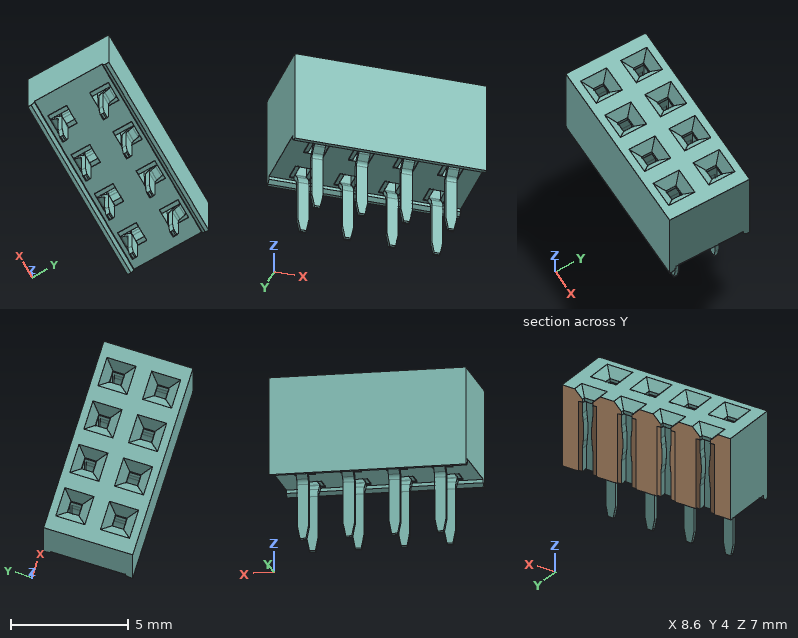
import cadquery as cq
import math


length = 8.6
width = 4.0
height = 4.3
lip_width = 0.33
lip_height = 0.3
lip_chamfer = 0.155

columns = 4
rows = 2
pitch = width / 2

leg_width = 0.5
stock = 0.2
bend_angle = math.radians(45)
lower_bend_radius = 0.3
upper_bend_radius = 0.04

tail_reach = 2.7
leg_bend_depth = 0.27
plate_offset = 0.39
taper_height = 0.6
tip_width = 0.26
tip_bevel = 0.05

lower_mid_radius = lower_bend_radius + stock / 2
upper_mid_radius = upper_bend_radius + stock / 2
radius_sum = lower_mid_radius + upper_mid_radius
slant_shift = plate_offset - radius_sum * (1 - math.cos(bend_angle))
slant_rise = slant_shift / math.tan(bend_angle)
plate_bottom = -leg_bend_depth + radius_sum * math.sin(bend_angle) + slant_rise

funnel_width = 1.3
throat_width = 0.51
funnel_depth = (funnel_width - throat_width) / 2
throat_depth = 0.17
ceiling = height - funnel_depth - throat_depth

cage_width = throat_width + 2 * stock
cage_inner_end = -0.43
cage_outer_end = plate_offset + stock / 2
pad_gap = 0.37
pad_lead_gap = 0.43
pad_outer_end = 0.2
pad_drop = 0.52
pad_lead_in = 0.34
pad_height = 1.72


def contact_places():
    """Centre of every contact, with the outward Y direction of its row."""
    for row in range(rows):
        y = (row - (rows - 1) / 2) * pitch
        for column in range(columns):
            x = (column - (columns - 1) / 2) * pitch
            yield x, y, math.copysign(1, y)


def block(x_range, y_range, z_range):
    """Rectangular block between the given limits."""
    size = [high - low for low, high in (x_range, y_range, z_range)]
    corner = (x_range[0], y_range[0], z_range[0])
    return cq.Workplane("XY").box(*size, centered=False).translate(corner)


def make_entry():
    """Funnel and throat opening, centred on the contact axis."""
    funnel = (
        cq.Workplane("XY", origin=(0, 0, height - funnel_depth))
        .rect(throat_width, throat_width)
        .workplane(offset=funnel_depth)
        .rect(funnel_width, funnel_width)
        .loft(ruled=True)
    )
    half = throat_width / 2
    throat = block((-half, half), (-half, half), (ceiling, height - funnel_depth))
    return funnel.union(throat)


def make_cavity():
    """Room for the contact cage, open at the underside, outward side at +Y."""
    half = cage_width / 2
    return block((-half, half), (cage_inner_end, cage_outer_end), (0, ceiling))


def make_housing():
    """Block on two long standoff lips, pierced by the contact openings."""
    outer = width / 2
    inner = outer - lip_width
    outline = [
        (-outer, 0),
        (-inner - lip_chamfer, 0),
        (-inner, lip_chamfer),
        (-inner, lip_height),
        (inner, lip_height),
        (inner, lip_chamfer),
        (inner + lip_chamfer, 0),
        (outer, 0),
        (outer, height),
        (-outer, height),
    ]
    housing = cq.Workplane("YZ").polyline(outline).close().extrude(length / 2, both=True)
    opening = make_entry().union(make_cavity())
    for x, y, outward in contact_places():
        housing = housing.cut(face_outward(opening, outward).translate((x, y, 0)))
    return housing


def face_outward(shape, outward):
    """Turn a shape made for the +Y row to suit the given row."""
    return shape if outward > 0 else shape.rotate((0, 0, 0), (0, 0, 1), 180)


def bend_point(centre, radius, angle):
    """Point on a bend, with the angle measured from +Y towards +Z."""
    return centre[0] + radius * math.cos(angle), centre[1] + radius * math.sin(angle)


def make_leg_profile():
    """Side outline of the bent strip, from the bevelled tip to the cage top."""
    half = stock / 2
    lower = (lower_mid_radius, -leg_bend_depth)
    upper = (plate_offset - upper_mid_radius, plate_bottom)
    half_turn = bend_angle / 2
    lower_mid, lower_end = math.pi - half_turn, math.pi - bend_angle
    upper_start, upper_mid = -bend_angle, -half_turn
    return (
        cq.Workplane("YZ")
        .moveTo(-half + tip_bevel, -tail_reach)
        .lineTo(-half, -tail_reach + tip_bevel)
        .lineTo(-half, -leg_bend_depth)
        .threePointArc(
            bend_point(lower, lower_bend_radius + stock, lower_mid),
            bend_point(lower, lower_bend_radius + stock, lower_end),
        )
        .lineTo(*bend_point(upper, upper_bend_radius, upper_start))
        .threePointArc(
            bend_point(upper, upper_bend_radius, upper_mid),
            (plate_offset - half, plate_bottom),
        )
        .lineTo(plate_offset - half, ceiling)
        .lineTo(plate_offset + half, ceiling)
        .lineTo(plate_offset + half, plate_bottom)
        .threePointArc(
            bend_point(upper, upper_bend_radius + stock, upper_mid),
            bend_point(upper, upper_bend_radius + stock, upper_start),
        )
        .lineTo(*bend_point(lower, lower_bend_radius, lower_end))
        .threePointArc(
            bend_point(lower, lower_bend_radius, lower_mid),
            (half, -leg_bend_depth),
        )
        .lineTo(half, -tail_reach + tip_bevel)
        .lineTo(half - tip_bevel, -tail_reach)
        .close()
    )


def make_leg():
    """Bent strip whose tail narrows to the tip."""
    strip = make_leg_profile().extrude(leg_width / 2, both=True)
    taper_top = -tail_reach + taper_height
    front_outline = [
        (-tip_width / 2, -tail_reach),
        (tip_width / 2, -tail_reach),
        (leg_width / 2, taper_top),
        (leg_width / 2, ceiling),
        (-leg_width / 2, ceiling),
        (-leg_width / 2, taper_top),
    ]
    envelope = cq.Workplane("XZ").polyline(front_outline).close().extrude(width / 2, both=True)
    return strip.intersect(envelope)


def make_back_plate():
    """Cage wall behind the pads, standing on the upper bend of the leg."""
    half = cage_width / 2
    return block(
        (-half, half), (plate_offset - stock / 2, cage_outer_end), (plate_bottom, ceiling)
    )


def make_side_wall():
    """Cage wall on the +X side with its contact pad, bowed between two sloped ends."""
    inner_face = throat_width / 2
    wall = block(
        (inner_face, cage_width / 2), (cage_inner_end, cage_outer_end), (plate_bottom, ceiling)
    )
    pad_top = ceiling - pad_drop
    pad_bottom = pad_top - pad_height
    pad = (
        cq.Workplane("XZ", origin=(0, pad_outer_end, 0))
        .moveTo(inner_face, pad_top)
        .lineTo(pad_lead_gap / 2, pad_top - pad_lead_in)
        .threePointArc(
            (pad_gap / 2, (pad_top + pad_bottom) / 2),
            (pad_lead_gap / 2, pad_bottom + pad_lead_in),
        )
        .lineTo(inner_face, pad_bottom)
        .close()
        .extrude(pad_outer_end - cage_inner_end)
    )
    return wall.union(pad)


def make_contact():
    """Contact for the +Y row, centred on its tail."""
    side_wall = make_side_wall()
    cage = make_back_plate().union(side_wall).union(side_wall.mirror("YZ"))
    return make_leg().union(cage)


housing = make_housing().solids()

contact = make_contact().solids()
contacts = []
for x, y, outward in contact_places():
    contacts.append(face_outward(contact, outward).translate((x, y, 0)).val())

result = cq.Compound.makeCompound([housing.val(), *contacts])